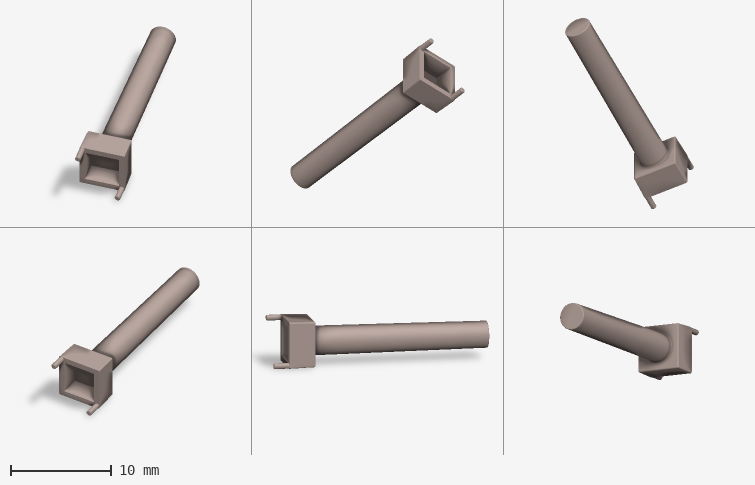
import cadquery as cq
import math

total_length = 21.97

housing_width = 4.7
housing_back_width = 4.57
housing_length = 2.68
housing_edge_radius = 0.13

cavity_width = 3.52
cavity_floor_width = 3.45
cavity_depth = 2.02

pin_diameter = 0.57
pin_length = 1.52
pin_tip_chamfer = 0.07

rod_base_diameter = 2.97
rod_tip_diameter = 2.7
rod_foot_radius = 0.18
rod_tip_radius = 0.09

pin_tip_y = -total_length / 2
mouth_y = pin_tip_y + pin_length
back_y = mouth_y + housing_length
rod_length = total_length / 2 - back_y


def section_plane(y):
    """XZ plane at the given Y, with its normal pointing towards +Y."""
    return cq.Plane(origin=(0, y, 0), xDir=(1, 0, 0), normal=(0, 1, 0))


def tapered_square(start_y, start_width, end_width, length):
    """Square block whose width changes evenly along +Y."""
    draft = math.degrees(math.atan((start_width - end_width) / 2 / length))
    square = cq.Workplane(section_plane(start_y)).rect(start_width, start_width)
    return square.extrude(length, taper=draft)


def make_housing():
    block = tapered_square(mouth_y, housing_width, housing_back_width, housing_length)
    return block.edges("not(<Y)").fillet(housing_edge_radius)


def make_rod():
    draft = math.degrees(math.atan((rod_base_diameter - rod_tip_diameter) / 2 / rod_length))
    rod = cq.Workplane(section_plane(back_y)).circle(rod_base_diameter / 2)
    rod = rod.extrude(rod_length, taper=draft)
    return rod.faces(">Y").edges().fillet(rod_tip_radius)


def make_pin(x, z):
    pin = cq.Workplane(section_plane(pin_tip_y)).center(x, -z).circle(pin_diameter / 2)
    pin = pin.extrude(pin_length)
    return pin.faces("<Y").edges().chamfer(pin_tip_chamfer)


def fillet_rod_foot(body):
    at_foot = cq.selectors.BoxSelector(
        (-rod_base_diameter, back_y - rod_foot_radius / 2, -rod_base_diameter),
        (rod_base_diameter, back_y + rod_foot_radius / 2, rod_base_diameter),
    )
    return body.edges("%CIRCLE").edges(at_foot).fillet(rod_foot_radius)


result = fillet_rod_foot(make_housing().union(make_rod()))
result = result.cut(tapered_square(mouth_y, cavity_width, cavity_floor_width, cavity_depth))

pin_offset = (housing_width - pin_diameter) / 2
for side in (-1, 1):
    result = result.union(make_pin(side * pin_offset, -side * pin_offset))